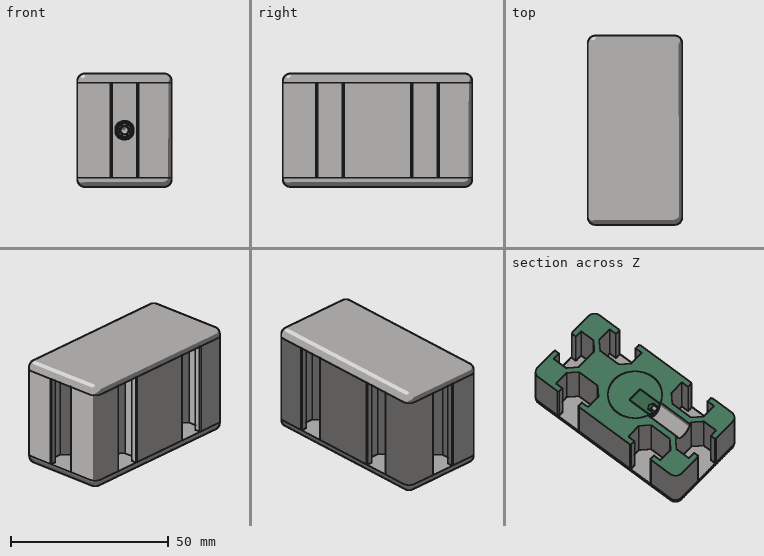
import cadquery as cq
import math

width = 30.0
length = 60.0
height = 36.0
edge_radius = 2.5

cap_thickness = 3.0
core_height = height - 2 * cap_thickness
cell_offset = (length - width) / 2

mouth_half_width = 4.5
mouth_depth = 0.25
neck_half_width = 4.0
lip_depth = 2.0
pocket_half_width = 6.6
pocket_side_depth = 7.0
slot_floor_half_width = 3.85
slot_depth = pocket_side_depth + pocket_half_width - slot_floor_half_width

rod_diameter = 17.0
access_hole_diameter = 6.0
screw_diameter = 5.0
screw_tip_diameter = 4.15
screw_chamfer = (screw_diameter - screw_tip_diameter) / 2
socket_across_flats = 2.5
socket_across_corners = socket_across_flats / math.cos(math.radians(30))
socket_depth = 2.0
drill_point_angle = 120.0
screw_outer_end = math.sqrt(rod_diameter**2 - screw_diameter**2) / 2 + screw_chamfer


def make_layer(bottom, thickness):
    """Horizontal layer of the block that is rounded on all its edges."""
    block = cq.Workplane("XY").box(width, length, height).edges().fillet(edge_radius)
    slab = cq.Workplane("XY", origin=(0, 0, bottom)).box(
        width, length, thickness, centered=(True, True, False)
    )
    return block.intersect(slab)


def make_slot():
    """T-slot cutter that opens toward -Y, with its mouth on the XZ plane."""
    right_side = [
        (mouth_half_width, 0),
        (neck_half_width, mouth_depth),
        (neck_half_width, lip_depth),
        (pocket_half_width, lip_depth),
        (pocket_half_width, pocket_side_depth),
        (slot_floor_half_width, slot_depth),
    ]
    left_side = [(-x, y) for x, y in reversed(right_side)]
    section = cq.Workplane("XY").polyline(right_side + left_side).close()
    return section.extrude(core_height / 2, both=True)


def turn_about_z(body, angle):
    """Body turned about the Z axis by an angle in degrees."""
    return body.rotate((0, 0, 0), (0, 0, 1), angle)


def make_rod_blank():
    """Plain upright rod on the Z axis, as tall as the core."""
    return cq.Workplane("XY").circle(rod_diameter / 2).extrude(core_height / 2, both=True)


def make_front_cylinder(diameter, reach):
    """Cylinder that runs from the Z axis toward -Y."""
    return cq.Workplane("XZ").circle(diameter / 2).extrude(reach)


def make_core():
    """Core with two end slots, four side slots, the rod bore and the screw access hole."""
    core = make_layer(-core_height / 2, core_height)
    end_slot = make_slot().translate((0, -length / 2, 0))
    side_slot = turn_about_z(make_slot(), -90).translate((-width / 2, 0, 0))
    for turn in (0, 180):
        core = core.cut(turn_about_z(end_slot, turn))
        for y in (-cell_offset, cell_offset):
            core = core.cut(turn_about_z(side_slot.translate((0, y, 0)), turn))
    access_hole = make_front_cylinder(access_hole_diameter, length / 2)
    return core.cut(make_rod_blank()).cut(access_hole)


def make_rod():
    """Upright rod with a radial hole for the set screw."""
    return make_rod_blank().cut(make_front_cylinder(screw_diameter, rod_diameter))


def make_screw():
    """Set screw from the rod axis to the front, with a hexagon socket in its chamfered end."""
    screw = make_front_cylinder(screw_diameter, screw_outer_end).faces("<Y").chamfer(screw_chamfer)
    end_face = cq.Workplane("XZ", origin=(0, -screw_outer_end, 0))
    socket = end_face.transformed(rotate=(0, 0, 90)).polygon(6, socket_across_corners).extrude(-socket_depth)
    point_radius = socket_across_flats / 2
    point_length = point_radius / math.tan(math.radians(drill_point_angle / 2))
    point_base = cq.Vector(0, socket_depth - screw_outer_end, 0)
    drill_point = cq.Solid.makeCone(point_radius, 0, point_length, point_base, cq.Vector(0, 1, 0))
    countersink_base = cq.Vector(0, -screw_outer_end, 0)
    countersink_radius = socket_across_corners / 2
    countersink = cq.Solid.makeCone(
        countersink_radius, 0, countersink_radius, countersink_base, cq.Vector(0, 1, 0)
    )
    return screw.cut(socket).cut(cq.Workplane(drill_point)).cut(cq.Workplane(countersink))


core = make_core()
caps = [make_layer(bottom, cap_thickness).val() for bottom in (-height / 2, core_height / 2)]
rod = make_rod()
screw = make_screw()

result = cq.Compound.makeCompound([core.val(), *caps, rod.val(), screw.val()])